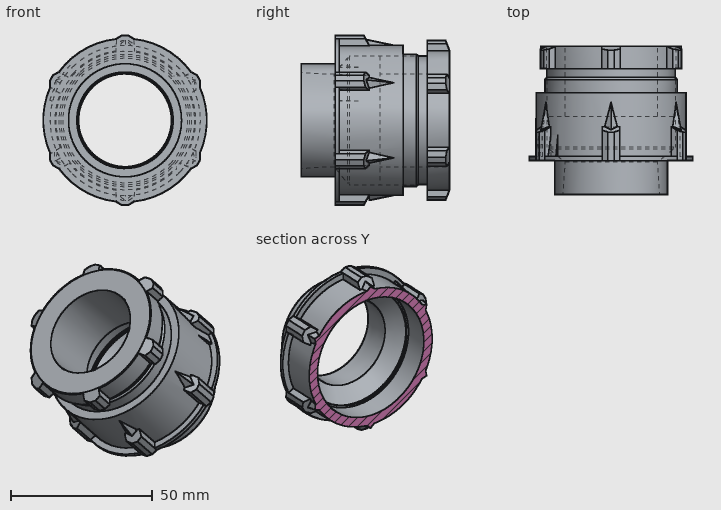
import cadquery as cq
import math


flange_front = 12.0
flange_back = 13.5
hull_back = 36.0
collar_chamfer_start = 40.55
collar_back = 41.35
nut_front = 44.45
nut_back = 52.45

spigot_radius = 20.0
flange_radius = 28.9
hull_radius = 26.5
collar_radius = 23.4

mouth_radius = 17.05
throat_radius = 16.4
throat_start = 10.1
throat_end = 11.5
seat_back = 16.2
seat_radius = 22.0
socket_start = 16.9
socket_radius = 22.75

nut_radius = 24.85
boss_front = 27.7
nut_face_radius = 24.5

rib_count = 6
crest_half_width = 1.15
shoulder_drop = 1.2
rib_root_depth = 1.8

housing_rib_radius = 30.0
housing_rib_half_width = 3.05
housing_rib_crest_end = 22.1
housing_rib_foot_end = 24.0

nut_rib_radius = 28.2
nut_rib_half_width = 3.2
nut_rib_crest_end = 51.0

fin_tip = 32.65
fin_half_width = 2.1
fin_rise = 1.8
short_fin_index = 3
fin_root_depth = 1.2

pad_back = 20.95
pad_rise = 1.0
pad_elevation = 30.0
pad_sweep = 30.0


def revolved(profile):
    """Solid of revolution about the Y axis from (radius, station) points."""
    return cq.Workplane("XY").polyline(profile).close().revolve(360, (0, 0, 0), (0, 1, 0))


def around_axis(shape, index):
    """Copy of a shape at the top, turned to one of the rib positions."""
    return shape.rotate((0, 0, 0), (0, 1, 0), index * 360 / rib_count)


def rib_bar(radius, half_width, root, start, end):
    """Straight rib at the top: arched crest, two slanted flanks and parallel sides."""
    crest_edge = math.sqrt(radius**2 - crest_half_width**2)
    shoulder = radius - shoulder_drop
    return (
        cq.Workplane("XZ", origin=(0, start, 0))
        .moveTo(-half_width, root)
        .lineTo(-half_width, shoulder)
        .lineTo(-crest_half_width, crest_edge)
        .threePointArc((0, radius), (crest_half_width, crest_edge))
        .lineTo(half_width, shoulder)
        .lineTo(half_width, root)
        .close()
        .extrude(start - end)
    )


def housing_rib():
    """Rib from the flange face to a conical end on the hull."""
    root = hull_radius - rib_root_depth
    cone_slope = (housing_rib_foot_end - housing_rib_crest_end) / (housing_rib_radius - hull_radius)
    root_end = housing_rib_foot_end + cone_slope * hull_radius
    envelope = revolved([
        (0, flange_front),
        (housing_rib_radius, flange_front),
        (housing_rib_radius, housing_rib_crest_end),
        (0, root_end),
    ])
    bar = rib_bar(housing_rib_radius, housing_rib_half_width, root, flange_front, hull_back)
    return bar.intersect(envelope)


def fin(end):
    """Pointed fin at the top: a triangle at station `end` that tapers to the tip on the hull."""
    growth = (fin_tip - end) / (fin_tip - housing_rib_foot_end)
    half_width = fin_half_width * growth
    ridge = hull_radius + fin_rise * growth
    root = hull_radius - fin_root_depth
    tip = cq.Vector(0, fin_tip, hull_radius)
    tip_root = cq.Vector(0, fin_tip, root)
    root_half_width = half_width * (ridge - root) / (ridge - hull_radius)
    crown = cq.Vector(0, end, ridge)
    left = cq.Vector(-root_half_width, end, root)
    right = cq.Vector(root_half_width, end, root)
    triangles = [
        (left, right, crown),
        (left, crown, tip),
        (right, tip, crown),
        (left, tip, tip_root),
        (right, tip_root, tip),
        (left, tip_root, right),
    ]
    faces = [cq.Face.makeFromWires(cq.Wire.makePolygon([*t, t[0]])) for t in triangles]
    return cq.Workplane(cq.Solid.makeSolid(cq.Shell.makeShell(faces)))


def label_pad():
    """Conical ramp that rises from the hull towards the flange, centred on one rib."""
    root = hull_radius - rib_root_depth
    profile = [
        (root, flange_back),
        (hull_radius + pad_rise, flange_back),
        (hull_radius, pad_back),
        (root, pad_back),
    ]
    wedge = cq.Workplane("XY").polyline(profile).close().revolve(pad_sweep, (0, 0, 0), (0, 1, 0))
    return wedge.rotate((0, 0, 0), (0, 1, 0), 180 + pad_elevation - pad_sweep / 2)


def make_housing():
    """Spigot, flange, hull and collar with ribs and fins, bored through for the nut."""
    housing = revolved([
        (0, 0),
        (spigot_radius, 0),
        (spigot_radius, flange_front),
        (flange_radius, flange_front),
        (flange_radius, flange_back),
        (hull_radius, flange_back),
        (hull_radius, hull_back),
        (collar_radius, hull_back),
        (collar_radius, collar_chamfer_start),
        (socket_radius, collar_back),
        (0, collar_back),
    ])
    rib = housing_rib()
    for index in range(rib_count):
        fin_end = housing_rib_foot_end if index == short_fin_index else housing_rib_crest_end
        housing = housing.union(around_axis(rib, index))
        housing = housing.union(around_axis(fin(fin_end), index))
    housing = housing.union(label_pad())
    bore = revolved([
        (0, 0),
        (mouth_radius, 0),
        (throat_radius, throat_start),
        (throat_radius, throat_end),
        (seat_radius, seat_back),
        (seat_radius, socket_start),
        (socket_radius, socket_start),
        (socket_radius, collar_back),
        (0, collar_back),
    ])
    return housing.cut(bore).solids()


def make_nut():
    """Ribbed ring with a chamfered back and a boss that fills the housing's socket."""
    root = nut_radius - rib_root_depth
    nut = cq.Workplane("XZ", origin=(0, nut_front, 0)).circle(nut_radius).extrude(nut_front - nut_back)
    rib = rib_bar(nut_rib_radius, nut_rib_half_width, root, nut_front, nut_back)
    for index in range(rib_count):
        nut = nut.union(around_axis(rib, index))
    envelope = revolved([
        (0, nut_front),
        (nut_rib_radius, nut_front),
        (nut_rib_radius, nut_rib_crest_end),
        (nut_face_radius, nut_back),
        (0, nut_back),
    ])
    nut = nut.intersect(envelope)
    boss = cq.Workplane("XZ", origin=(0, boss_front, 0)).circle(socket_radius).extrude(boss_front - nut_front)
    bore = cq.Workplane("XZ", origin=(0, boss_front, 0)).circle(throat_radius).extrude(boss_front - nut_back)
    return nut.union(boss).cut(bore).solids()


housing = make_housing()
nut = make_nut()

result = cq.Compound.makeCompound([housing.val(), nut.val()])